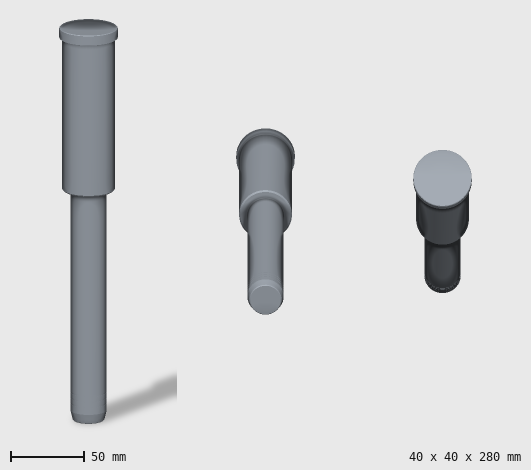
import cadquery as cq

total_length = 280.0
head_diameter = 40.0
head_height = 7.0
head_chamfer = 0.42
body_diameter = 36.0
body_length = 109.0
body_chamfer = 1.0
corner_radius = 0.8
corner_margin = 0.3
shaft_diameter = 25.0

taper_height = 7.0
taper_end_diameter = 21.8
tip_chamfer = 0.5

groove_count = 3
groove_width = 1.0
groove_depth = 0.15
groove_pitch = 4.0
lowest_groove_base = 12.0

head_base = total_length - head_height
body_base = head_base - body_length


def cylinder(diameter, base, height):
    """Solid cylinder on the Z axis."""
    return cq.Workplane("XY").workplane(offset=base).circle(diameter / 2).extrude(height)


def make_shaft():
    """Straight shaft with a tapered, chamfered tip."""
    shaft_radius = shaft_diameter / 2
    taper_end_radius = taper_end_diameter / 2
    profile = [
        (0, 0),
        (taper_end_radius - tip_chamfer, 0),
        (taper_end_radius, tip_chamfer),
        (shaft_radius, taper_height),
        (shaft_radius, body_base),
        (0, body_base),
    ]
    return cq.Workplane("XZ").polyline(profile).close().revolve(360, (0, 0, 0), (0, 1, 0))


def make_groove(base):
    """Ring of material to remove from the shaft surface."""
    core = cylinder(shaft_diameter - 2 * groove_depth, base, groove_width)
    return cylinder(shaft_diameter + 2 * groove_depth, base, groove_width).cut(core)


head = cylinder(head_diameter, head_base, head_height).faces(">Z").chamfer(head_chamfer)
body = cylinder(body_diameter, body_base, body_length).faces("<Z").chamfer(body_chamfer)
result = make_shaft().union(body).union(head)

for corner_base, diameter in ((head_base, body_diameter), (body_base, shaft_diameter)):
    corner = cq.selectors.BoxSelector(
        (-diameter, -diameter, corner_base - corner_margin),
        (diameter, diameter, corner_base + corner_margin),
    )
    edges = result.edges(corner).edges(cq.selectors.RadiusNthSelector(0))
    result = edges.fillet(corner_radius)

for index in range(groove_count):
    result = result.cut(make_groove(lowest_groove_base + index * groove_pitch))